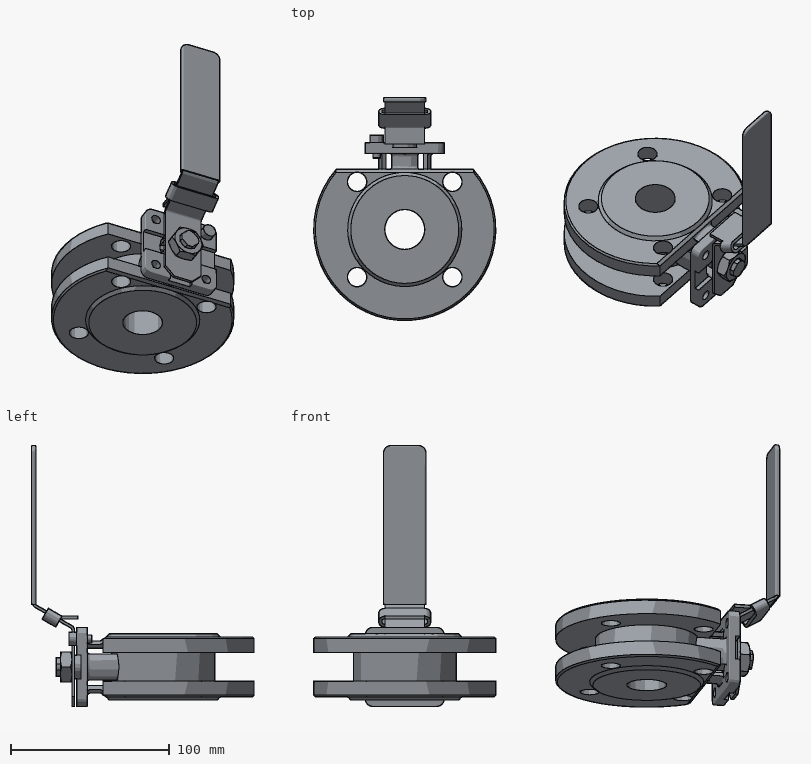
import cadquery as cq
import math


flange_radius = 57.5
flange_outer_z = 18.9
flange_inner_z = 9.0
flange_edge_chamfer = 1.1
flat_y = 38.0
flat_chamfer_run = 2.2
flat_chamfer_rise = 1.2
flat_edge_z = flange_outer_z - flat_chamfer_rise
raised_face_z = 21.0
raised_base_radius = 36.0
raised_top_radius = 34.0
core_radius = 32.5
bore_diameter = 25.0
bolt_circle_radius = 42.5
bolt_hole_diameter = 12.0

plate_size = 50.0
plate_bottom_y = 47.9
plate_top_y = 54.7
plate_corner_radius = 5.0
plate_edge_fillet = 0.4
plate_hole_diameter = 6.0
plate_hole_offset = plate_size / 2 / math.sqrt(2)
groove_width = 15.0
groove_floor_y = 51.8
arm_inner_radius = 13.5
arm_outer_radius = 16.5
arm_angle = 60.0
arm_fillet = 2.0
arm_root_y = 25.0

stem_diameter = 16.0
collar_diameter = 15.0
tip_diameter = 12.0
tip_across_flats = 10.8
tip_end_y = 67.6

handle_thickness = 1.8
handle_width = 25.0
handle_mid_y = 56.75
handle_bottom_z = -plate_size / 2
handle_bottom_chamfer = 6.25
handle_slope = 30.0
slope_run = 25.0
lower_bend_z = 24.6
bend_inner_radius = 2.0
upper_bend_z = lower_bend_z + slope_run * math.tan(math.radians(handle_slope))
grip_mid_y = handle_mid_y + slope_run
grip_width = 27.0
grip_thickness = 3.0
grip_bottom_z = 39.5
grip_top_z = 139.75
grip_corner_radius = 5.0
grip_edge_fillet = 1.0
handle_back_y = handle_mid_y - handle_thickness / 2
handle_front_y = handle_mid_y + handle_thickness / 2

slide_thickness = 2.0
slide_length = 10.0
slide_outer_radius = 4.0
slide_inner_radius = slide_outer_radius - slide_thickness
slide_center_y = 69.6
tab_end_y = 53.9

nut_height = 7.2
nut_across_flats = 19.0
nut_chamfer_angle = 30.0
screw_diameter = 5.0
screw_head_diameter = 8.5
screw_head_height = 4.8
screw_end_y = 44.8
screw_end_chamfer = 0.5


def cylinder_y(diameter, start_y, end_y, x=0.0, z=0.0):
    """Cylinder along Y."""
    return cq.Workplane("ZX", origin=(x, start_y, z)).circle(diameter / 2).extrude(end_y - start_y)


def stem_tip(start_y, end_y):
    """Round tip with four flats set at 45 degrees to X and Z."""
    square = (
        cq.Workplane("ZX", origin=(0, start_y, 0))
        .transformed(rotate=(0, 0, 45))
        .rect(tip_across_flats, tip_across_flats)
        .extrude(end_y - start_y)
    )
    return cylinder_y(tip_diameter, start_y, end_y).intersect(square)


def bent_sheet(path, width, thickness):
    """Sheet of constant thickness centred on a (y, z) path, with a round bend at each inner path point."""
    middle_radius = bend_inner_radius + thickness / 2
    headings = [math.atan2(b[1] - a[1], b[0] - a[0]) for a, b in zip(path, path[1:])]

    def shift(point, heading, distance):
        """Move a point sideways, to the left of a heading."""
        return (point[0] - distance * math.sin(heading), point[1] + distance * math.cos(heading))

    def trace(side):
        """Points along one face: its ends, and the start, middle and end of each bend arc."""
        points = [shift(path[0], headings[0], side)]
        for corner, before, after in zip(path[1:], headings, headings[1:]):
            half_turn = (after - before) / 2
            radius = math.copysign(middle_radius, half_turn)
            center = shift(corner, before + half_turn, radius / math.cos(half_turn))
            for heading in (before, before + half_turn, after):
                points.append(shift(center, heading, side - radius))
        points.append(shift(path[-1], headings[-1], side))
        return points

    left = trace(thickness / 2)
    right = trace(-thickness / 2)[::-1]
    outline = cq.Workplane("YZ", origin=(-width / 2, 0, 0)).moveTo(*left[0])
    for face in (left, right):
        outline = outline.lineTo(*face[0]) if face is right else outline
        for first in range(1, len(face) - 1, 3):
            start, middle, end = face[first : first + 3]
            outline = outline.lineTo(*start).threePointArc(middle, end)
        outline = outline.lineTo(*face[-1])
    return outline.close().extrude(width)


def flange():
    """Upper flange, flattened and chamfered on the +Y side."""
    thickness = flange_outer_z - flange_inner_z
    disc = (
        cq.Workplane("XY", origin=(0, 0, flange_inner_z))
        .circle(flange_radius)
        .extrude(thickness)
        .faces(">Z")
        .chamfer(flange_edge_chamfer)
    )
    side = [
        (flat_y, flange_inner_z),
        (flat_y, flat_edge_z),
        (flat_y - flat_chamfer_run, flange_outer_z),
        (-flange_radius, flange_outer_z),
        (-flange_radius, flange_inner_z),
    ]
    envelope = (
        cq.Workplane("YZ", origin=(-flange_radius, 0, 0)).polyline(side).close().extrude(2 * flange_radius)
    )
    return disc.intersect(envelope)


def core():
    """Round middle of the body, ending in a conical raised face at each side."""
    profile = [
        (0, -raised_face_z),
        (raised_top_radius, -raised_face_z),
        (raised_base_radius, -flange_outer_z),
        (core_radius, -flange_outer_z),
        (core_radius, flange_outer_z),
        (raised_base_radius, flange_outer_z),
        (raised_top_radius, raised_face_z),
        (0, raised_face_z),
    ]
    return cq.Workplane("XZ").polyline(profile).close().revolve(360, (0, 0, 0), (0, 1, 0))


def arm(angle, root_fillet):
    """Curved arm around the stem, filleted on its outer side; angle is measured about Y."""
    outer = arm_outer_radius
    flare = arm_outer_radius + arm_fillet
    shrink = arm_fillet * (1 - math.sqrt(0.5))
    outline = cq.Workplane("XY").moveTo(arm_inner_radius, arm_root_y)
    if root_fillet:
        outline = (
            outline.lineTo(flare, arm_root_y)
            .lineTo(flare, flat_y)
            .threePointArc((outer + shrink, flat_y + shrink), (outer, flat_y + arm_fillet))
        )
    else:
        outline = outline.lineTo(outer, arm_root_y)
    solid = (
        outline.lineTo(outer, plate_bottom_y - arm_fillet)
        .threePointArc((outer + shrink, plate_bottom_y - shrink), (flare, plate_bottom_y))
        .lineTo(arm_inner_radius, plate_bottom_y)
        .close()
        .revolve(arm_angle, (0, 0, 0), (0, 1, 0))
    )
    solid = solid.rotate((0, 0, 0), (0, 1, 0), angle - arm_angle / 2)
    limit = cq.Workplane("XZ").rect(4 * flare, 2 * flat_edge_z).extrude(-plate_bottom_y)
    return solid.intersect(limit) if root_fillet else solid


def top_plate():
    """Square mounting plate with two crossing grooves and four corner holes."""
    thickness = plate_top_y - plate_bottom_y
    plate = (
        cq.Workplane("ZX", origin=(0, plate_bottom_y, 0))
        .rect(plate_size, plate_size)
        .extrude(thickness)
        .edges("|Y")
        .fillet(plate_corner_radius)
        .faces("<Y or >Y")
        .edges()
        .fillet(plate_edge_fillet)
    )
    grooves = (
        cq.Workplane("ZX", origin=(0, groove_floor_y, 0))
        .rect(plate_size, groove_width)
        .extrude(thickness)
        .union(
            cq.Workplane("ZX", origin=(0, groove_floor_y, 0))
            .rect(groove_width, plate_size)
            .extrude(thickness)
        )
    )
    holes = (
        cq.Workplane("ZX", origin=(0, plate_bottom_y, 0))
        .rect(2 * plate_hole_offset, 2 * plate_hole_offset, forConstruction=True)
        .vertices()
        .circle(plate_hole_diameter / 2)
        .extrude(thickness)
    )
    center_hole = cylinder_y(2 * arm_inner_radius, plate_bottom_y, plate_top_y)
    return plate.cut(grooves).cut(holes).cut(center_hole)


def make_body():
    upper = flange()
    body = core().union(upper).union(upper.mirror("XY"))
    for quarter in range(4):
        along_z = quarter % 2 == 1
        body = body.union(arm(90 * quarter, root_fillet=along_z))
    body = body.union(cylinder_y(stem_diameter, arm_root_y, groove_floor_y))
    body = body.union(top_plate())
    body = body.union(cylinder_y(collar_diameter, groove_floor_y, handle_back_y))
    body = body.union(stem_tip(handle_back_y, tip_end_y))
    through = 2 * raised_face_z
    bolt_holes = (
        cq.Workplane("XY", origin=(0, 0, -raised_face_z))
        .polarArray(bolt_circle_radius, 45, 360, 4)
        .circle(bolt_hole_diameter / 2)
        .extrude(through)
    )
    bore = cq.Workplane("XY", origin=(0, 0, -raised_face_z)).circle(bore_diameter / 2).extrude(through)
    return body.cut(bolt_holes).cut(bore)


def make_handle():
    path = [
        (handle_mid_y, handle_bottom_z),
        (handle_mid_y, lower_bend_z),
        (grip_mid_y, upper_bend_z),
        (grip_mid_y, grip_top_z - grip_corner_radius),
    ]
    strip = bent_sheet(path, handle_width, handle_thickness)
    strip = strip.faces("<Z").edges("|Y").chamfer(handle_bottom_chamfer)
    grip = (
        cq.Workplane("ZX", origin=(0, grip_mid_y - grip_thickness / 2, 0))
        .center((grip_bottom_z + grip_top_z) / 2, 0)
        .rect(grip_top_z - grip_bottom_z, grip_width)
        .extrude(grip_thickness)
        .edges("|Y and >Z")
        .fillet(grip_corner_radius)
    )
    grip = grip.edges("(<Y or >Y) and (not <Z)").fillet(grip_edge_fillet)
    return strip.union(grip).cut(stem_tip(handle_back_y, handle_front_y))


def make_slide():
    """Flat tube around the sloping part of the handle, with a tab bent out of its upper wall."""
    angle = math.radians(handle_slope)
    center_z = lower_bend_z + (slide_center_y - handle_mid_y) * math.tan(angle)
    along = (math.cos(angle), math.sin(angle))
    normal = (-math.sin(angle), math.cos(angle))

    def point(distance, height):
        """Position in (y, z) from a distance along the slope and a height above the handle's middle."""
        return (
            slide_center_y + distance * along[0] + height * normal[0],
            center_z + distance * along[1] + height * normal[1],
        )

    tube_height = handle_thickness / 2 - slide_inner_radius
    start = point(-slide_length / 2, tube_height)
    plane = cq.Plane(origin=(0, *start), xDir=(1, 0, 0), normal=(0, *along))
    outer_width = handle_width + 2 * slide_outer_radius
    inner_width = handle_width + 2 * slide_inner_radius
    tube = (
        cq.Workplane(plane)
        .slot2D(outer_width, 2 * slide_outer_radius)
        .slot2D(inner_width, 2 * slide_inner_radius)
        .extrude(slide_length)
    )
    wall_height = (handle_thickness + slide_thickness) / 2
    bend = point(-slide_length / 2, wall_height)
    path = [(tab_end_y, bend[1]), bend, point(0, wall_height)]
    tab = bent_sheet(path, handle_width, slide_thickness)
    return tube.union(tab)


def make_nut():
    end_y = handle_front_y + nut_height
    corner_diameter = nut_across_flats / math.cos(math.radians(30))
    chamfer_radial = (corner_diameter - nut_across_flats) / 2
    chamfer_axial = chamfer_radial * math.tan(math.radians(nut_chamfer_angle))
    hexagon = (
        cq.Workplane("ZX", origin=(0, handle_front_y, 0))
        .transformed(rotate=(0, 0, 30))
        .polygon(6, corner_diameter)
        .extrude(nut_height)
    )
    rounding = (
        cylinder_y(corner_diameter, handle_front_y, end_y)
        .faces("<Y or >Y")
        .chamfer(chamfer_axial, chamfer_radial)
    )
    return hexagon.intersect(rounding).cut(cylinder_y(tip_diameter, handle_front_y, end_y))


def make_screw():
    place = {"x": -plate_hole_offset, "z": plate_hole_offset}
    shank = cylinder_y(screw_diameter, screw_end_y, plate_top_y, **place)
    shank = shank.faces("<Y").chamfer(screw_end_chamfer)
    head = cylinder_y(screw_head_diameter, plate_top_y, plate_top_y + screw_head_height, **place)
    return shank.union(head)


body = make_body()
handle = make_handle()
slide = make_slide()
nut = make_nut()
screw = make_screw()
result = cq.Compound.makeCompound([body.val(), handle.val(), slide.val(), nut.val(), screw.val()])